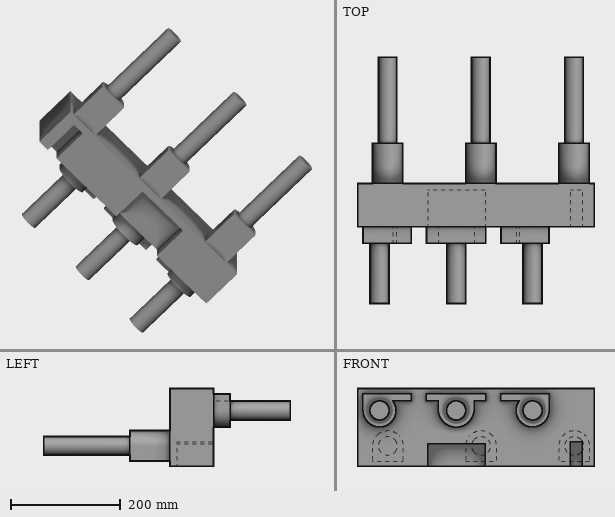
import cadquery as cq

block_width = 432.5
block_height = 142.5
total_depth = 450.0
block_front_y = 140.0
block_back_y = 219.5

terminal_front_y = 110.0
terminal_top_z = 132.5
bar_thickness = 12.5
front_pin_diameter = 35.0
front_pin_z = 102.0
side_stem_radius = 30.0
middle_stem_radius = 33.0
middle_stem_center_z = 104.5
left_pin_x = 40.0
middle_pin_x = 180.0
right_pin_x = 319.5
side_bar_length = 88.0
middle_bar_length = 109.0

boss_width = 56.0
boss_bottom_z = 9.5
boss_back_y = 293.0
rear_pin_diameter = 34.0
rear_pin_z = 38.0
first_rear_pin_x = 55.0
rear_pitch = 170.0
rear_count = 3

notch_depth = 67.5
notches = [(128.0, 105.5, 41.5), (388.0, 22.5, 45.0)]


def box(x, y, z, width, depth, height):
    """Box placed by its left, front, bottom corner."""
    return cq.Workplane("XY").box(width, depth, height, centered=False).translate((x, y, z))


def rod(x, z, diameter, start_y, end_y):
    """Cylinder running along Y."""
    plane = cq.Workplane("XZ", origin=(x, start_y, z))
    return plane.circle(diameter / 2).extrude(start_y - end_y)


def front_terminal(pin_x, bar_left_x, bar_length, stem_radius, stem_center_z):
    depth = block_front_y - terminal_front_y
    bar_bottom_z = terminal_top_z - bar_thickness
    bar = box(bar_left_x, terminal_front_y, bar_bottom_z, bar_length, depth, bar_thickness)
    stem = rod(pin_x, stem_center_z, 2 * stem_radius, terminal_front_y, block_front_y)
    above_bar = box(pin_x - stem_radius, terminal_front_y, terminal_top_z, 2 * stem_radius, depth, stem_radius)
    stem = stem.cut(above_bar)
    pin = rod(pin_x, front_pin_z, front_pin_diameter, 0, block_front_y)
    return bar.union(stem).union(pin)


def stem_side(left_x, width, stem_center_z):
    """Straight part of a stem, from the height of its arc center to the bar top."""
    depth = block_front_y - terminal_front_y
    height = terminal_top_z - stem_center_z
    return box(left_x, terminal_front_y, stem_center_z, width, depth, height)


def rear_terminal(x):
    depth = boss_back_y - block_back_y
    base_height = rear_pin_z - boss_bottom_z
    base = box(x - boss_width / 2, block_back_y, boss_bottom_z, boss_width, depth, base_height)
    crown = rod(x, rear_pin_z, boss_width, block_back_y, boss_back_y)
    pin = rod(x, rear_pin_z, rear_pin_diameter, block_back_y, total_depth)
    return base.union(crown).union(pin)


block_depth = block_back_y - block_front_y
result = box(0, block_front_y, 0, block_width, block_depth, block_height)
for notch_x, notch_width, notch_height in notches:
    result = result.cut(box(notch_x, block_front_y, 0, notch_width, notch_depth, notch_height))

left_bar_x = left_pin_x - side_stem_radius
right_bar_x = right_pin_x + side_stem_radius - side_bar_length
result = result.union(
    front_terminal(left_pin_x, left_bar_x, side_bar_length, side_stem_radius, front_pin_z)
)
result = result.union(stem_side(left_bar_x, side_stem_radius, front_pin_z))
result = result.union(
    front_terminal(right_pin_x, right_bar_x, side_bar_length, side_stem_radius, front_pin_z)
)
result = result.union(stem_side(right_pin_x, side_stem_radius, front_pin_z))

middle_bar_x = middle_pin_x - middle_bar_length / 2
middle_stem_x = middle_pin_x - middle_stem_radius
result = result.union(
    front_terminal(middle_pin_x, middle_bar_x, middle_bar_length, middle_stem_radius, middle_stem_center_z)
)
result = result.union(stem_side(middle_stem_x, 2 * middle_stem_radius, middle_stem_center_z))

for index in range(rear_count):
    result = result.union(rear_terminal(first_rear_pin_x + index * rear_pitch))